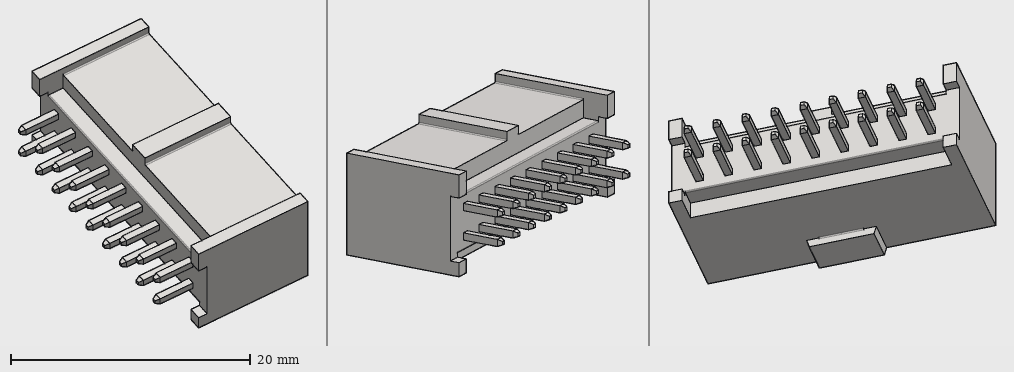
import cadquery as cq


pin_columns = 9
pin_rows = 2
column_pitch = 2.54
row_pitch = 2.6
pin_size = 0.64
pin_end = 13.8
pin_tip_length = 0.4
pin_tip_size = 0.32

length = 25.2
inner_length = pin_columns * column_pitch
end_wall_thickness = (length - inner_length) / 2
end_wall_height = 9.0
end_wall_depth = 10.95
housing_height = 8.2
housing_depth = 8.6
mid_height = housing_height / 2

base_depth = 10.1
base_height = 5.0
base_bottom = mid_height - base_height / 2

foot_gap_height = 5.7

rib_width = 1.85

block_top_width = 6.1
block_bottom_width = 5.7
block_height = 0.75
block_depth = 2.9
block_web_length = 3.9

edge_radius = 0.1


def box(width, front_depth, bottom, top, x_center=0.0):
    """Block reaching from the rear face forward to the given depth."""
    return (
        cq.Workplane("XY")
        .box(width, front_depth, top - bottom, centered=(True, False, False))
        .translate((x_center, -front_depth, bottom))
    )


def make_base():
    base = box(inner_length, base_depth, base_bottom, base_bottom + base_height)
    return base.faces("<Y").edges("|X").fillet(edge_radius)


def make_end_wall(side):
    x_center = side * (length - end_wall_thickness) / 2
    wall = box(end_wall_thickness, end_wall_depth, 0, end_wall_height, x_center)
    gap_bottom = mid_height - foot_gap_height / 2
    gap_top = mid_height + foot_gap_height / 2
    gap = box(end_wall_thickness, end_wall_depth, gap_bottom, gap_top, x_center)
    kept = box(end_wall_thickness, base_depth, gap_bottom, gap_top, x_center)
    return wall.cut(gap.cut(kept))


def make_corner_round(x_corner, side):
    """Concave round standing on the roof at x_corner, spreading toward side along X."""
    far_x = x_corner + side * edge_radius
    corner = box(edge_radius, housing_depth, housing_height, housing_height + edge_radius,
                 (x_corner + far_x) / 2)
    hollow = (
        cq.Workplane("XZ")
        .center(far_x, housing_height + edge_radius)
        .circle(edge_radius)
        .extrude(housing_depth)
    )
    return corner.cut(hollow)


def make_polarising_block():
    block = (
        cq.Workplane("XZ")
        .polyline([
            (-block_top_width / 2, 0),
            (block_top_width / 2, 0),
            (block_bottom_width / 2, -block_height),
            (-block_bottom_width / 2, -block_height),
        ])
        .close()
        .extrude(block_depth)
    )
    web = box(block_web_length, block_depth + edge_radius, -edge_radius, 0)
    hollow = (
        cq.Workplane("YZ")
        .center(-block_depth - edge_radius, -edge_radius)
        .circle(edge_radius)
        .extrude(block_web_length / 2, both=True)
    )
    return block.union(web.cut(hollow))


def make_pin(x, z):
    shank_length = pin_end - base_depth - pin_tip_length
    shank = (
        cq.Workplane("XZ", origin=(x, -housing_depth, z))
        .rect(pin_size, pin_size)
        .extrude(base_depth - housing_depth + shank_length)
    )
    tip = (
        cq.Workplane("XZ", origin=(x, -(pin_end - pin_tip_length), z))
        .rect(pin_size, pin_size)
        .workplane(offset=pin_tip_length)
        .rect(pin_tip_size, pin_tip_size)
        .loft(ruled=True)
    )
    return shank.union(tip)


result = box(inner_length, housing_depth, 0, housing_height)
result = result.union(make_base())
result = result.union(box(rib_width, housing_depth, 0, end_wall_height))
result = result.union(make_polarising_block())

for side in (-1, 1):
    result = result.union(make_end_wall(side))
    result = result.union(make_corner_round(side * inner_length / 2, -side))
    result = result.union(make_corner_round(side * rib_width / 2, side))

for column in range(pin_columns):
    pin_x = (column - (pin_columns - 1) / 2) * column_pitch
    for row in range(pin_rows):
        pin_z = mid_height + (row - (pin_rows - 1) / 2) * row_pitch
        result = result.union(make_pin(pin_x, pin_z))